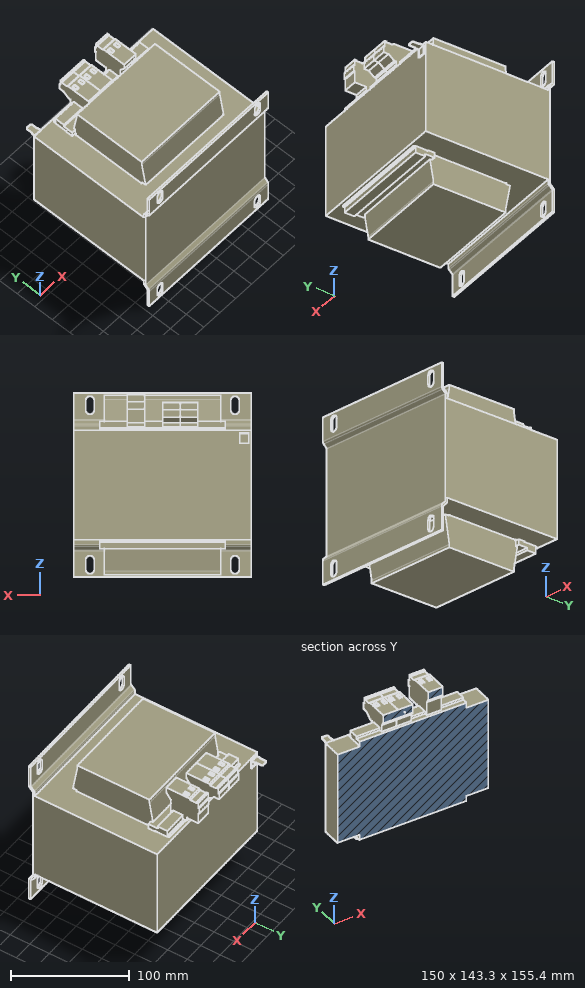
import cadquery as cq
import math


width = 150.0
plate_height = 155.4

sheet = 2.0
base_front = 4.2
bend_start = 54.2
slope_back_shift = sheet * math.tan(math.radians(45 / 2))
flange_bend_radius = 3.0
base_bend_radius = 2.3
slot_length = 15.0
slot_width = 7.0
slot_x = 61.2
slot_z = 67.3

core_front = base_front + sheet
core_back = 131.3
core_half_height = 46.2
window_width = 100.2
window_front = 31.4
window_back = 106.3

coil_width = 98.0
coil_y = (window_front + window_back) / 2
coil_half_height = 75.5
coil_base_depth = 82.7
coil_end_depth = 73.7
coil_rim_height = 3.1

strip_width = 106.3
strip_front = 107.4
strip_back = 126.8
strip_step = 116.9
strip_foot_back = 114.2
strip_low_top = 51.3
strip_high_top = 53.6
strip_clearance = 0.6
lip_back = 128.7
lip_bottom = 47.2
lip_top = 48.2

terminal_pitch = 14.9
terminal_width = 14.8
low_terminal_xs = (-1.5 * terminal_pitch, -0.5 * terminal_pitch)
high_terminal_x = 1.5 * terminal_pitch
low_terminal_top = 70.0
high_terminal_top = 76.8
terminal_front = 109.9
terminal_back = 142.3
nose_back = 143.3
nose_top_drop = 6.4
nose_bottom_drop = 12.7
rim_front = 140.5
rim_drop = 0.6
ledge_drop = 1.4
ledge_front = 134.4
ledge_slope_front = 133.3
front_slope_top_drop = 5.9
front_slope_bottom_drop = 12.1
stem_front = 114.4
stem_back = 130.7
stem_bottom = 49.0
body_bottom = 52.5
undercut_start = 138.5
undercut_end = 132.5
wire_hole_width = 2.8
wire_hole_length = 4.7
wire_hole_depth = 1.0
wire_hole_offset = 3.7
wire_hole_y = 128.0

tab_x = -69.0
tab_root_width = 7.5
tab_width = 6.4
tab_tip_chamfer = 0.8
tab_root_end = 135.8
tab_end = 142.8
tab_top = 44.1
tab_thickness = 0.8
tab_leg_bottom = 35.1


def box(x_range, y_range, z_range):
    """Box between the given limits."""
    sizes = [high - low for low, high in (x_range, y_range, z_range)]
    corner = (x_range[0], y_range[0], z_range[0])
    return cq.Workplane("XY").box(*sizes, centered=False).translate(corner)


def extrude_along_x(outline, length, center_x=0.0):
    """Prism of a (y, z) outline, centred on center_x."""
    prism = cq.Workplane("YZ").polyline(outline).close().extrude(length / 2, both=True)
    return prism.translate((center_x, 0, 0))


def with_mirror_below(shape):
    """The shape together with its mirror image in the plane Z = 0."""
    return shape.union(shape.mirror("XY"))


def make_plate():
    top = plate_height / 2
    front_end = bend_start - base_front
    flange_inner_bend = (sheet, bend_start + slope_back_shift)
    base_outer_bend = (core_front, front_end + slope_back_shift)
    flange_outer_bend = (0, bend_start)
    base_inner_bend = (base_front, front_end)
    flange_end = [(0, top), (sheet, top)]
    upper = [base_inner_bend, flange_outer_bend, *flange_end, flange_inner_bend, base_outer_bend]
    lower = [(y, -z) for y, z in reversed(upper)]
    plate = extrude_along_x(upper + lower, width)
    bends = [
        (flange_outer_bend, flange_bend_radius),
        (flange_inner_bend, flange_bend_radius - sheet),
        (base_outer_bend, base_bend_radius),
        (base_inner_bend, base_bend_radius - sheet),
    ]
    for side in (1, -1):
        for (y, z), radius in bends:
            edge = cq.selectors.NearestToPointSelector((0, y, side * z))
            plate = plate.edges("|X").edges(edge).fillet(radius)
    slot_centers = [(x, z) for x in (-slot_x, slot_x) for z in (-slot_z, slot_z)]
    slots = cq.Workplane("XZ").pushPoints(slot_centers).slot2D(slot_length, slot_width, 90)
    return plate.cut(slots.extrude(-2 * sheet))


def make_core():
    z_range = (-core_half_height, core_half_height)
    core = box((-width / 2, width / 2), (core_front, core_back), z_range)
    window = box((-window_width / 2, window_width / 2), (window_front, window_back), z_range)
    return core.cut(window)


def make_coil():
    rim_start = coil_half_height - coil_rim_height
    outline = [
        (coil_y - coil_base_depth / 2, core_half_height),
        (coil_y + coil_base_depth / 2, core_half_height),
        (coil_y + coil_end_depth / 2, rim_start),
        (coil_y + coil_end_depth / 2, coil_half_height),
        (coil_y - coil_end_depth / 2, coil_half_height),
        (coil_y - coil_end_depth / 2, rim_start),
    ]
    ends = with_mirror_below(extrude_along_x(outline, coil_width))
    middle = box(
        (-coil_width / 2, coil_width / 2),
        (window_front, window_back),
        (-core_half_height, core_half_height),
    )
    return ends.union(middle)


def make_strips():
    underside = core_half_height + strip_clearance
    outline = [
        (strip_front, core_half_height),
        (strip_foot_back, core_half_height),
        (strip_foot_back, underside),
        (strip_back, underside),
        (strip_back, lip_bottom),
        (lip_back, lip_bottom),
        (lip_back, lip_top),
        (strip_back, lip_top),
        (strip_back, strip_high_top),
        (strip_step, strip_high_top),
        (strip_step, strip_low_top),
        (strip_front, strip_low_top),
    ]
    return with_mirror_below(extrude_along_x(outline, strip_width))


def make_terminal(center_x, top, undercut):
    """Terminal on the upper strip; its lower back corner is either cut away or square."""
    nose_bottom = top - nose_bottom_drop
    if undercut:
        back_corner = [(undercut_end, body_bottom), (undercut_start, nose_bottom)]
    else:
        back_corner = [(terminal_back, body_bottom), (terminal_back, nose_bottom)]
    outline = [
        (stem_front, stem_bottom),
        (stem_back, stem_bottom),
        (stem_back, body_bottom),
        *back_corner,
        (nose_back, nose_bottom),
        (nose_back, top - nose_top_drop),
        (terminal_back, top - nose_top_drop),
        (terminal_back, top - rim_drop),
        (rim_front, top - rim_drop),
        (rim_front, top - ledge_drop),
        (ledge_front, top - ledge_drop),
        (ledge_slope_front, top),
        (terminal_front, top),
        (terminal_front, top - front_slope_top_drop),
        (stem_front, top - front_slope_bottom_drop),
    ]
    terminal = extrude_along_x(outline, terminal_width, center_x)
    hole_centers = [(center_x + side * wire_hole_offset, wire_hole_y) for side in (-1, 1)]
    holes = (
        cq.Workplane("XY", origin=(0, 0, top))
        .pushPoints(hole_centers)
        .rect(wire_hole_width, wire_hole_length)
        .extrude(-wire_hole_depth)
    )
    return terminal.cut(holes)


def make_tab():
    tab_bottom = tab_top - tab_thickness
    root_x = (tab_x - tab_root_width / 2, tab_x + tab_root_width / 2)
    blade_x = (tab_x - tab_width / 2, tab_x + tab_width / 2)
    leg = box(root_x, (core_back, core_back + tab_thickness), (tab_leg_bottom, tab_top))
    root = box(root_x, (core_back, tab_root_end), (tab_bottom, tab_top))
    blade = box(blade_x, (core_back, tab_end), (tab_bottom, tab_top))
    blade = blade.edges("|Z and >Y").chamfer(tab_tip_chamfer)
    return leg.union(root).union(blade)


result = make_plate().union(make_core()).union(make_coil()).union(make_strips())
for terminal_x in low_terminal_xs:
    result = result.union(make_terminal(terminal_x, low_terminal_top, undercut=True))
result = result.union(make_terminal(high_terminal_x, high_terminal_top, undercut=False))
result = result.union(make_tab())